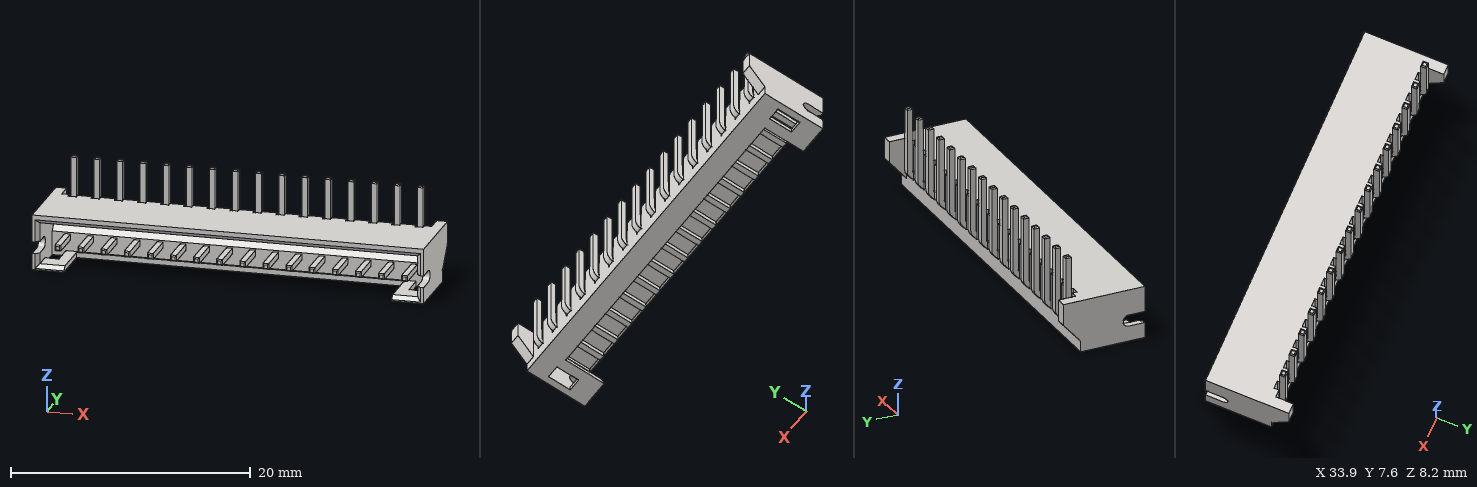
import cadquery as cq


length = 33.9
overall_depth = 7.6
body_depth = 6.0
body_height = 4.8

ear_thickness = 0.95
ear_slope_bottom = 1.02
ear_slope_top = 2.85

side_wall = 0.6
floor_thickness = 0.47
ceiling_thickness = 0.75
lead_in = 0.35
lower_wall_y = 4.2
step_bottom = 2.1
step_size = 0.6
upper_wall_y = lower_wall_y + step_size
step_top = step_bottom + step_size
ceiling_z = body_height - ceiling_thickness

floor_tab_width = 2.78
floor_gap_depth = 4.0
window_front = 1.95
window_inner_inset = 1.8
window_width = 1.2
side_slot_depth = 2.05
side_slot_bottom = 1.42
side_slot_height = 1.02

pin_count = 16
pin_pitch = 2.0
pin_size = 0.5
pin_tip_y = 1.02
pin_rear_y = 6.55
pin_bottom_z = 1.45
pin_top = 8.2
pin_bend_inner = 0.4
pin_tip_chamfer = 0.1
pin_row_start = -pin_pitch * (pin_count - 1) / 2

notch_width = 0.68
notch_depth = 0.45

gusset_width = 0.5
gusset_size = 0.3


def box(x0, x1, y0, y1, z0, z1):
    """Axis-aligned box between opposite corners."""
    return cq.Workplane("XY").box(x1 - x0, y1 - y0, z1 - z0, centered=False).translate((x0, y0, z0))


def prism(points, x_center, width):
    """Outline of (y, z) points extruded along X about x_center."""
    return (
        cq.Workplane("YZ")
        .polyline(points)
        .close()
        .extrude(width / 2, both=True)
        .translate((x_center, 0, 0))
    )


def make_shell():
    """Housing block with its two rear ears."""
    block = prism(
        [
            (0, 0),
            (body_depth, 0),
            (body_depth, ear_slope_bottom),
            (overall_depth, ear_slope_top),
            (overall_depth, body_height),
            (0, body_height),
        ],
        0,
        length,
    )
    half_gap = length / 2 - ear_thickness
    return block.cut(box(-half_gap, half_gap, body_depth, overall_depth, 0, body_height))


def make_cavity():
    """Stepped cavity with a 45 degree lead-in around its mouth."""
    width = length - 2 * side_wall
    height = ceiling_z - floor_thickness
    cavity = prism(
        [
            (0, floor_thickness),
            (lower_wall_y, floor_thickness),
            (lower_wall_y, step_bottom),
            (upper_wall_y, step_top),
            (upper_wall_y, ceiling_z),
            (0, ceiling_z),
        ],
        0,
        width,
    )
    mouth = (
        cq.Workplane("XZ")
        .center(0, floor_thickness + height / 2)
        .rect(width + 2 * lead_in, height + 2 * lead_in)
        .workplane(offset=-lead_in)
        .rect(width, height)
        .loft(ruled=True)
    )
    return cavity.union(mouth)


def make_floor_openings():
    """Wide gap between the two front tabs, and a corner window behind each tab."""
    half_gap = length / 2 - floor_tab_width
    openings = box(-half_gap, half_gap, 0, floor_gap_depth, 0, floor_thickness)
    inner = length / 2 - window_inner_inset
    outer = inner + window_width
    window = box(inner, outer, window_front, lower_wall_y, 0, floor_thickness)
    return openings.union(window).union(window.mirror("YZ"))


def make_side_slot():
    """Round-ended slot, open at the front, through both end walls."""
    radius = side_slot_height / 2
    center_y = side_slot_depth - radius
    top = side_slot_bottom + side_slot_height
    return (
        cq.Workplane("YZ")
        .moveTo(0, side_slot_bottom)
        .lineTo(center_y, side_slot_bottom)
        .threePointArc((side_slot_depth, side_slot_bottom + radius), (center_y, top))
        .lineTo(0, top)
        .close()
        .extrude(length / 2, both=True)
    )


def make_gusset(x):
    """Triangular rib in the corner under the ceiling."""
    return prism(
        [
            (upper_wall_y, ceiling_z - gusset_size),
            (upper_wall_y, ceiling_z),
            (upper_wall_y - gusset_size, ceiling_z),
        ],
        x,
        gusset_width,
    )


def make_notch(x):
    """Rear clearance notch from the top face down to the underside of the pin."""
    half = notch_width / 2
    return box(x - half, x + half, body_depth - notch_depth, body_depth, pin_bottom_z, body_height)


def make_pin(x):
    """Square right-angle pin with chamfered tips."""
    pin = prism(
        [
            (pin_tip_y, pin_bottom_z),
            (pin_rear_y, pin_bottom_z),
            (pin_rear_y, pin_top),
            (pin_rear_y - pin_size, pin_top),
            (pin_rear_y - pin_size, pin_bottom_z + pin_size),
            (pin_tip_y, pin_bottom_z + pin_size),
        ],
        x,
        pin_size,
    )
    pin = pin.faces("<Y or >Z").chamfer(pin_tip_chamfer)
    inner_corner = cq.selectors.NearestToPointSelector((x, pin_rear_y - pin_size, pin_bottom_z + pin_size))
    outer_corner = cq.selectors.NearestToPointSelector((x, pin_rear_y, pin_bottom_z))
    pin = pin.edges(inner_corner).fillet(pin_bend_inner)
    return pin.edges(outer_corner).fillet(pin_bend_inner + pin_size)


housing = make_shell().cut(make_cavity()).cut(make_floor_openings()).cut(make_side_slot())

for i in range(pin_count - 1):
    housing = housing.union(make_gusset(pin_row_start + (i + 0.5) * pin_pitch))

for i in range(pin_count):
    pin_x = pin_row_start + i * pin_pitch
    housing = housing.cut(make_notch(pin_x)).union(make_pin(pin_x))

result = housing